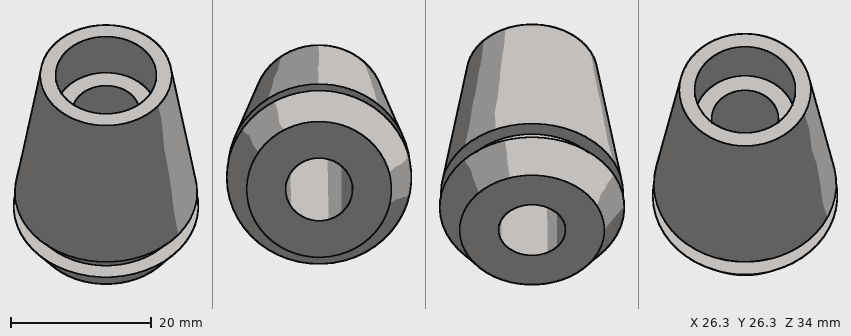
import cadquery as cq

total_height = 34.0
flange_height = 4.95
groove_width = 3.15
cone_base_z = flange_height + groove_width

flange_bottom_radius = 10.3
flange_rim_radius = 13.15
groove_radius = 11.0
cone_base_radius = 13.0
cone_top_radius = 9.35

hole_radius = 4.75
counterbore_radius = 7.17
counterbore_depth = 8.0

body_profile = (
    cq.Workplane("XZ")
    .moveTo(0, 0)
    .lineTo(flange_bottom_radius, 0)
    .lineTo(flange_rim_radius, flange_height)
    .lineTo(groove_radius, flange_height)
    .lineTo(groove_radius, cone_base_z)
    .lineTo(cone_base_radius, cone_base_z)
    .lineTo(cone_top_radius, total_height)
    .lineTo(0, total_height)
    .close()
)
body = body_profile.revolve(360, (0, 0, 0), (0, 1, 0))

result = body.faces(">Z").workplane().cboreHole(
    2 * hole_radius, 2 * counterbore_radius, counterbore_depth
)